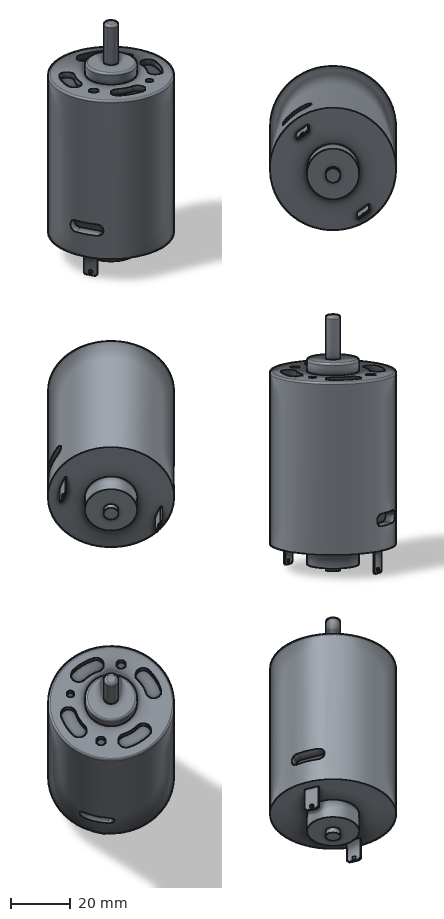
import cadquery as cq
import math

shaft_top = 87.0
rear_boss_bottom = 2.1
can_bottom = 9.05
can_height = 58.9
can_top = can_bottom + can_height
front_boss_height = 4.3

can_diameter = 42.4
boss_diameter = 17.5
shaft_diameter = 5.0
can_edge_radius = 0.7
boss_edge_radius = 0.8
shaft_edge_radius = 1.0

face_opening_depth = 2.1
mount_hole_diameter = 3.2
mount_hole_offset = 14.5
locating_hole_diameter = 2.5
locating_hole_offset = 14.0
vent_radius = 14.9
vent_width = 5.2
vent_half_angle = 13.5
vent_middle_angle = 43.4

side_slot_length = 12.0
side_slot_height = 4.3
side_slot_z = 19.6
side_slot_depth = 4.3

terminal_width = 5.0
terminal_thickness = 0.6
terminal_offset = 17.1
terminal_bottom = 0.5
terminal_corner = 0.7
terminal_dimple_diameter = 1.3
terminal_dimple_depth = 0.35
terminal_dimple_z = 1.7


def cylinder(diameter, bottom, top):
    """Upright cylinder on the motor axis."""
    return cq.Workplane("XY", origin=(0, 0, bottom)).circle(diameter / 2).extrude(top - bottom)


def polar(radius, degrees):
    angle = math.radians(degrees)
    return radius * math.cos(angle), radius * math.sin(angle)


def make_body():
    can = cylinder(can_diameter, can_bottom, can_top).faces(">Z").edges().fillet(can_edge_radius)
    front_boss = cylinder(boss_diameter, can_top, can_top + front_boss_height)
    front_boss = front_boss.faces(">Z").edges().fillet(boss_edge_radius)
    rear_boss = cylinder(boss_diameter, rear_boss_bottom, can_bottom)
    shaft = cylinder(shaft_diameter, 0, shaft_top).faces(">Z").edges().fillet(shaft_edge_radius)
    return can.union(front_boss).union(rear_boss).union(shaft)


def make_vent(middle_angle):
    """Cutter for an arc-shaped vent with round ends, centred on middle_angle."""
    inner = vent_radius - vent_width / 2
    outer = vent_radius + vent_width / 2
    start = middle_angle - vent_half_angle
    end = middle_angle + vent_half_angle
    return (
        cq.Workplane("XY", origin=(0, 0, can_top))
        .moveTo(*polar(outer, start))
        .threePointArc(polar(outer, middle_angle), polar(outer, end))
        .tangentArcPoint(polar(inner, end), relative=False)
        .threePointArc(polar(inner, middle_angle), polar(inner, start))
        .tangentArcPoint(polar(outer, start), relative=False)
        .close()
        .extrude(-face_opening_depth)
    )


def make_face_holes():
    face = cq.Workplane("XY", origin=(0, 0, can_top))
    mount_holes = (
        face.pushPoints([(0, mount_hole_offset), (0, -mount_hole_offset)])
        .circle(mount_hole_diameter / 2)
        .extrude(-face_opening_depth)
    )
    locating_hole = (
        face.center(locating_hole_offset, 0)
        .circle(locating_hole_diameter / 2)
        .extrude(-face_opening_depth)
    )
    return mount_holes.union(locating_hole)


def make_side_slots():
    """Cutter for two opposite slots with flat floors square to Y."""
    floor_offset = can_diameter / 2 - side_slot_depth
    through_slot = (
        cq.Workplane("XZ", origin=(0, 0, side_slot_z))
        .slot2D(side_slot_length, side_slot_height)
        .extrude(can_diameter, both=True)
    )
    core = cq.Workplane("XY").box(can_diameter, 2 * floor_offset, 2 * shaft_top)
    return through_slot.cut(core)


def make_terminal(side):
    """Tab with chamfered lower corners and a blind hole in its outer face; side is +1 or -1 along Y."""
    height = can_bottom - terminal_bottom
    tab = (
        cq.Workplane("XY", origin=(0, side * terminal_offset, terminal_bottom))
        .box(terminal_width, terminal_thickness, height, centered=(True, True, False))
        .edges("|Y").edges("<Z")
        .chamfer(terminal_corner)
    )
    outer_face = terminal_offset + terminal_thickness / 2
    dimple = (
        cq.Workplane("XZ", origin=(0, side * outer_face, terminal_dimple_z))
        .circle(terminal_dimple_diameter / 2)
        .extrude(side * terminal_dimple_depth)
    )
    return tab.cut(dimple)


result = make_body().cut(make_face_holes()).cut(make_side_slots())
for x_axis_angle in (0, 180):
    for side in (1, -1):
        result = result.cut(make_vent(x_axis_angle + side * vent_middle_angle))
for side in (1, -1):
    result = result.union(make_terminal(side))